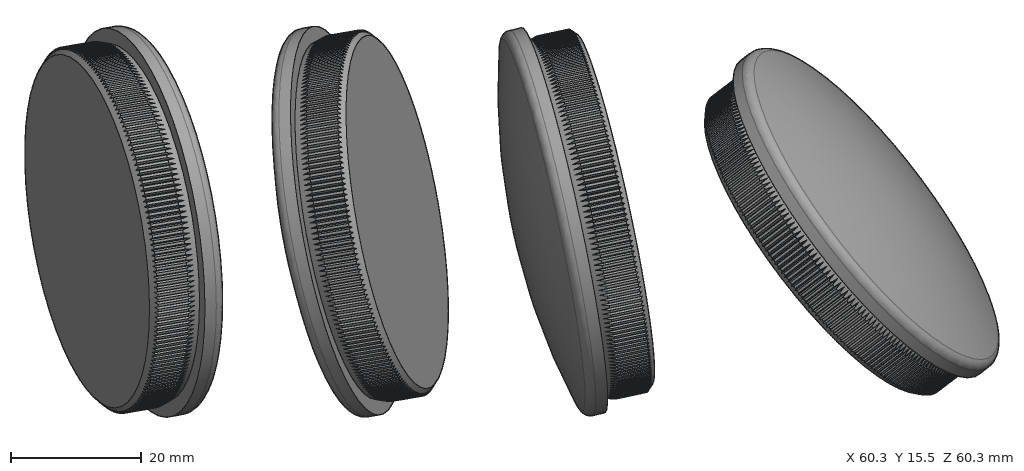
import cadquery as cq
import math

flange_radius = 30.15
total_height = 15.5
flange_seat = 8.0
dome_radius = 103.1
rim_fillet = 1.5

knurl_radius = 28.4
neck_radius = 27.75
knurl_top = 5.95
face_chamfer = 1.0

groove_count = 210
groove_depth = 0.35
groove_width = 0.4
groove_overrun = 0.3


def dome_height(radius):
    """Height of the dome surface at a distance from the Y axis."""
    return total_height - dome_radius + math.sqrt(dome_radius**2 - radius**2)


def make_body():
    """Plug, flange and dome, revolved about the Y axis."""
    rim_height = dome_height(flange_radius)
    mid_radius = flange_radius / 2
    body = (
        cq.Workplane("XY")
        .lineTo(knurl_radius - face_chamfer, 0)
        .lineTo(knurl_radius, face_chamfer)
        .lineTo(knurl_radius, knurl_top)
        .lineTo(neck_radius, flange_seat)
        .lineTo(flange_radius, flange_seat)
        .lineTo(flange_radius, rim_height)
        .threePointArc((mid_radius, dome_height(mid_radius)), (0, total_height))
        .close()
        .revolve(360, (0, 0), (0, 1))
    )
    reach = flange_radius + rim_fillet
    rim = cq.selectors.BoxSelector(
        (-reach, (flange_seat + rim_height) / 2, -reach),
        (reach, (rim_height + total_height) / 2, reach),
        boundingbox=True,
    )
    return body.edges(rim).fillet(rim_fillet)


def make_groove_cutters():
    """All V grooves of the knurl, running out through the chamfer and the neck cone."""
    root_radius = knurl_radius - groove_depth
    mouth_radius = knurl_radius + groove_overrun
    half_mouth = groove_width / 2 * (mouth_radius - root_radius) / groove_depth
    first_groove = (
        cq.Workplane("XZ", origin=(0, -groove_overrun, 0))
        .polyline([(0, root_radius), (half_mouth, mouth_radius), (-half_mouth, mouth_radius)])
        .close()
        .extrude(-(flange_seat + groove_overrun))
        .val()
    )
    pitch_angle = 360 / groove_count
    return cq.Compound.makeCompound(
        [first_groove.rotate((0, 0, 0), (0, 1, 0), i * pitch_angle) for i in range(groove_count)]
    )


result = make_body().cut(cq.Workplane(obj=make_groove_cutters()))